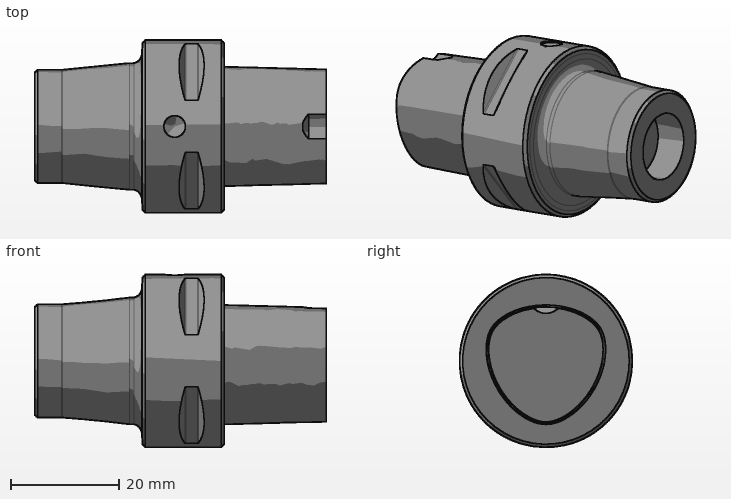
import cadquery as cq
import math

total_length = 54.0
nose_chamfer = 0.55
nose_end = 4.95
blend_length = 0.15
cone_end = 17.5
neck_end = 18.3
flange_start = 19.9
face_rise = 0.1
flange_end = 35.1

nose_radius = 21.0 / 2
neck_radius = 23.5 / 2
fillet_outer_radius = 13.7
face_inner_radius = 14.7
flange_radius = 32.0 / 2
flange_chamfer = 0.6
bore_radius = 12.5 / 2
bore_depth = 5.95

shank_base_radius = 11.05
shank_tip_radius = 10.6
lobe_height = 0.7
lobe_count = 3
outline_points = 48

slot_count = 4
slot_center = 29.05
slot_floor_width = 2.4
slot_mouth_width = 4.65
slot_floor_height = 14.2
slot_corner_radius = 0.25

dimple_center = 25.9
dimple_radius = 4.0 / 2
dimple_wall_depth = 0.3
dimple_cone_depth = dimple_radius / math.tan(math.radians(60))

notch_length = 3.3
notch_half_width = 2.4
notch_depth = 1.1
notch_runout = 1.1

cut_margin = 1.1


def make_turned_body():
    """Nose, cone, filleted neck and flange, revolved about X."""
    cone_start = nose_end + blend_length
    cone_slope = (neck_radius - nose_radius) / (cone_end - nose_end - blend_length / 2)
    cone_start_radius = nose_radius + cone_slope * blend_length / 2
    fillet_end = flange_start - face_rise
    fillet_run = fillet_end - neck_end
    fillet_rise = fillet_outer_radius - neck_radius
    fillet_middle = (
        neck_end + fillet_run * math.sin(math.pi / 4),
        neck_radius + fillet_rise * (1 - math.cos(math.pi / 4)),
    )
    return (
        cq.Workplane("XY")
        .moveTo(0, 0)
        .lineTo(0, nose_radius - nose_chamfer)
        .lineTo(nose_chamfer, nose_radius)
        .lineTo(nose_end, nose_radius)
        .tangentArcPoint((cone_start, cone_start_radius), relative=False)
        .lineTo(cone_end, neck_radius)
        .lineTo(neck_end, neck_radius)
        .threePointArc(fillet_middle, (fillet_end, fillet_outer_radius))
        .lineTo(flange_start, face_inner_radius)
        .lineTo(flange_start, flange_radius - flange_chamfer)
        .lineTo(flange_start + flange_chamfer, flange_radius)
        .lineTo(flange_end - flange_chamfer, flange_radius)
        .lineTo(flange_end, flange_radius - flange_chamfer)
        .lineTo(flange_end, 0)
        .close()
        .revolve(360, (0, 0, 0), (1, 0, 0))
    )


def shank_outline(radius):
    """Constant-width three-lobed curve with one lobe pointing to -Z."""
    points = []
    for index in range(outline_points):
        angle = 2 * math.pi * index / outline_points
        lobe_angle = lobe_count * (angle + math.pi / 2)
        reach = radius + lobe_height * math.cos(lobe_angle)
        slope = -lobe_count * lobe_height * math.sin(lobe_angle)
        points.append((
            reach * math.cos(angle) - slope * math.sin(angle),
            reach * math.sin(angle) + slope * math.cos(angle),
        ))
    return points


def make_shank():
    return (
        cq.Workplane("YZ", origin=(flange_end, 0, 0))
        .spline(shank_outline(shank_base_radius), periodic=True)
        .close()
        .workplane(offset=total_length - flange_end)
        .spline(shank_outline(shank_tip_radius), periodic=True)
        .close()
        .loft(ruled=True)
    )


def make_bore():
    return cq.Workplane("YZ").circle(bore_radius).extrude(bore_depth)


def make_slot(angle):
    """Flat-floored flange slot with sloping sides and rounded floor corners."""
    mouth_half = slot_mouth_width / 2
    floor_half = slot_floor_width / 2
    return (
        cq.Workplane("XZ")
        .polyline([
            (slot_center - floor_half, slot_floor_height),
            (slot_center + floor_half, slot_floor_height),
            (slot_center + mouth_half, flange_radius),
            (slot_center - mouth_half, flange_radius),
        ])
        .close()
        .extrude(flange_radius, both=True)
        .faces("<Z")
        .edges("|Y")
        .fillet(slot_corner_radius)
        .rotate((0, 0, 0), (1, 0, 0), angle)
    )


def make_dimple():
    """Short cylindrical wall ending in a 120 degree drill point."""
    wall_bottom = flange_radius - dimple_wall_depth
    return (
        cq.Workplane("XZ")
        .polyline([
            (0, wall_bottom - dimple_cone_depth),
            (dimple_radius, wall_bottom),
            (dimple_radius, flange_radius + cut_margin),
            (0, flange_radius + cut_margin),
        ])
        .close()
        .revolve(360, (0, 0, 0), (0, 1, 0))
        .translate((dimple_center, 0, 0))
    )


def make_notch():
    """Round-bottomed groove along X with a conical runout."""
    groove_radius = (notch_half_width**2 + notch_depth**2) / (2 * notch_depth)
    axis_height = shank_tip_radius - lobe_height - notch_depth + groove_radius
    notch_start = total_length - notch_length
    return (
        cq.Workplane("XZ")
        .polyline([
            (notch_start - notch_runout, 0),
            (notch_start - notch_runout, groove_radius - notch_depth),
            (notch_start, groove_radius),
            (total_length + cut_margin, groove_radius),
            (total_length + cut_margin, 0),
        ])
        .close()
        .revolve(360, (0, 0, 0), (1, 0, 0))
        .translate((0, 0, axis_height))
    )


result = make_turned_body().union(make_shank()).cut(make_bore())
for slot_index in range(slot_count):
    result = result.cut(make_slot((slot_index + 0.5) * 360 / slot_count))
result = result.cut(make_dimple()).cut(make_notch())